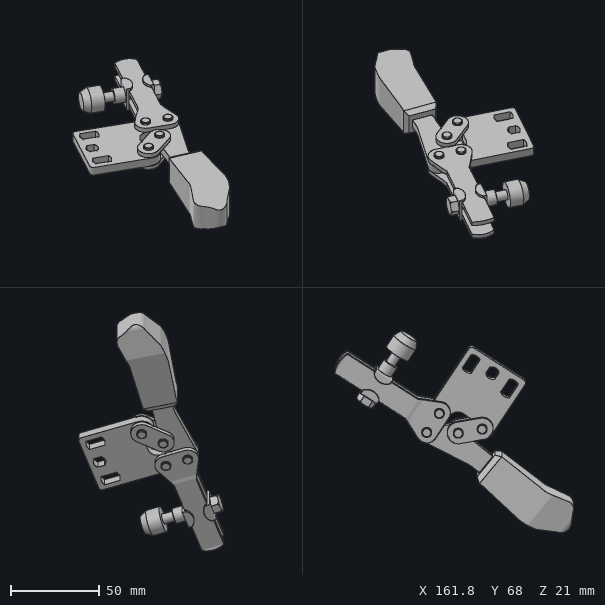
import cadquery as cq
import math

core_thickness = 5.3
sheet_thickness = 2.8
core_half = core_thickness / 2
sheet_top = core_half + sheet_thickness
eye_diameter = 12.5
eye_radius = eye_diameter / 2

arm_base_pivot = (0, 0)
arm_lever_pivot = (0, 13.1)
link_lever_pivot = (15.2, 3.7)
link_base_pivot = (25.2, -5.7)

rivet_shank_radius = 2.3
rivet_head_diameter = 5.7
rivet_head_radius = rivet_head_diameter / 2
rivet_half_length = 6.8
rivet_chamfer = 0.5

base_left = -6.1
base_right = 32.0
base_bottom = -41.7
base_corner_radius = 2.1
lug_radius = base_right - link_base_pivot[0]
notch_floor = -6.6
notch_radius = 5.5
slot_width = 5.8
slot_length = 10.8
slot_bulge = 0.8
slot_pitch = 25.9
hole_width = 6.1
hole_height = 7.0
hole_bulge = 1.5
mount_middle = 12.8
slot_level = -33.2
hole_level = -35.3

bar_low = -0.2
bar_high = 13.1
bar_end = -14.7
arm_tip = -63.8
tip_bulge = 1.6
tip_splay = 0.5
joggle_start = -13.9
joggle_end = -11.8
joggle_rise = 0.4

lever_eye_radius = 5.0
step_x = 3.0
underside_start = (19.1, 2.6)
underside_end = (39.2, 4.9)
neck_high = 16.3
neck_start = 30.1
neck_end = 33.0
neck_rise = 0.8

grip_tilt = math.radians(6)
ridge = (78.0, 15.0)

spindle_x = -38.2
spindle_diameter = 6.0
spindle_radius = spindle_diameter / 2
washer_web = 1.6
washer_half_width = 5.5
washer_half_height = 7.3
washer_edge_radius = 0.8
flange_side = 0.8
flange_depth = 3.4
hex_across_flats = 9.7
hex_height = 4.7
hex_chamfer = 0.5
collar_radius = 4.5
collar_end = -8.1
cap_start = -14.9
cap_shoulder = -22.8
cap_end = -27.0
cap_diameter = 15.0
cap_radius = cap_diameter / 2
cap_face_radius = 5.3


def disc(center, radius, half_height=core_half):
    """Cylinder along Z, centred on the middle plane."""
    return cq.Workplane("XY").center(*center).circle(radius).extrude(half_height, both=True)


def rivet(center):
    """Shank through the plates with a low chamfered head at each end."""
    body = disc(center, rivet_shank_radius, sheet_top)
    head = (
        cq.Workplane("XY", origin=(*center, sheet_top))
        .circle(rivet_head_radius)
        .extrude(rivet_half_length - sheet_top)
        .faces(">Z")
        .chamfer(rivet_chamfer)
    )
    return body.union(head).union(head.mirror("XY"))


def with_mirror(plate):
    """Pair of plates, one on each side of the middle plane."""
    return plate.union(plate.mirror("XY"))


def tangent_point(point, center, radius, side):
    """Where the line from a point touches a circle; side is +1 or -1."""
    dx = point[0] - center[0]
    dy = point[1] - center[1]
    angle = math.atan2(dy, dx) + side * math.acos(radius / math.hypot(dx, dy))
    return (center[0] + radius * math.cos(angle), center[1] + radius * math.sin(angle))


def rivet_holes(*centers):
    holes = cq.Workplane("XY")
    for center in centers:
        holes = holes.union(disc(center, rivet_shank_radius))
    return holes


def mounting_hole(center, width, length, bulge):
    """Upright opening with straight sides and bulged ends."""
    half_width = width / 2
    half_side = length / 2 - bulge
    return (
        cq.Workplane("XY", origin=(*center, 0))
        .moveTo(-half_width, -half_side)
        .threePointArc((0, -length / 2), (half_width, -half_side))
        .lineTo(half_width, half_side)
        .threePointArc((0, length / 2), (-half_width, half_side))
        .close()
        .extrude(core_half, both=True)
    )


def make_base():
    eye_right = -base_left
    lug_left = link_base_pivot[0] - lug_radius
    plate = (
        cq.Workplane("XY")
        .moveTo(base_left, base_bottom)
        .lineTo(base_right, base_bottom)
        .lineTo(base_right, link_base_pivot[1])
        .threePointArc((link_base_pivot[0], link_base_pivot[1] + lug_radius), (lug_left, link_base_pivot[1]))
        .lineTo(lug_left, notch_floor)
        .lineTo(eye_right, notch_floor)
        .lineTo(eye_right, 0)
        .threePointArc((0, eye_right), (base_left, 0))
        .close()
        .extrude(core_half, both=True)
    )
    plate = plate.edges("|Z and <Y").fillet(base_corner_radius)
    notch_corner = cq.selectors.NearestToPointSelector((eye_right, notch_floor, 0))
    plate = plate.edges("|Z").edges(notch_corner).fillet(notch_radius)
    for side in (-1, 1):
        slot_center = (mount_middle + side * slot_pitch / 2, slot_level)
        plate = plate.cut(mounting_hole(slot_center, slot_width, slot_length, slot_bulge))
    plate = plate.cut(mounting_hole((mount_middle, hole_level), hole_width, hole_height, hole_bulge))
    return plate.cut(rivet_holes(arm_base_pivot, link_base_pivot))


def make_arm():
    top_corner = (bar_end, bar_high)
    low_corner = (bar_end, bar_low)
    bend = arm_tip + tip_bulge
    eye_diagonal = eye_radius * math.sqrt(0.5)
    outline = (
        cq.Workplane("XY")
        .moveTo(*low_corner)
        .lineTo(*tangent_point(low_corner, arm_base_pivot, eye_radius, 1))
        .threePointArc((eye_diagonal, -eye_diagonal), (eye_radius, 0))
        .lineTo(eye_radius, arm_lever_pivot[1])
        .threePointArc(
            (arm_lever_pivot[0], arm_lever_pivot[1] + eye_radius),
            tangent_point(top_corner, arm_lever_pivot, eye_radius, -1),
        )
        .lineTo(*top_corner)
        .lineTo(bend, bar_high)
        .threePointArc((arm_tip, (bar_low + bar_high) / 2), (bend, bar_low))
        .close()
        .extrude(rivet_half_length)
    )
    path = [
        (arm_tip, core_half + joggle_rise + tip_splay),
        (bend, core_half + joggle_rise),
        (joggle_start, core_half + joggle_rise),
        (joggle_end, core_half),
        (eye_radius, core_half),
    ]
    outer = [(x, z + sheet_thickness) for x, z in reversed(path)]
    sheet_width = 2 * (arm_lever_pivot[1] + eye_radius)
    sheet = cq.Workplane("XZ").polyline(path + outer).close().extrude(sheet_width, both=True)
    arm = with_mirror(outline.intersect(sheet))
    return arm.union(rivet(arm_base_pivot)).union(rivet(arm_lever_pivot))


def make_link():
    dx = link_base_pivot[0] - link_lever_pivot[0]
    dy = link_base_pivot[1] - link_lever_pivot[1]
    middle = (link_lever_pivot[0] + dx / 2, link_lever_pivot[1] + dy / 2)
    plate = (
        cq.Workplane("XY", origin=(*middle, core_half))
        .slot2D(math.hypot(dx, dy) + 2 * eye_radius, 2 * eye_radius, math.degrees(math.atan2(dy, dx)))
        .extrude(sheet_thickness)
    )
    return with_mirror(plate).union(rivet(link_lever_pivot)).union(rivet(link_base_pivot))


def make_lever():
    """Flat bar whose lower edge steps clear of the base plate's eye."""
    eye_low = arm_lever_pivot[1] - lever_eye_radius
    step = (step_x, eye_low)
    bar = (
        cq.Workplane("XY")
        .polyline([
            (arm_lever_pivot[0], eye_low),
            step,
            tangent_point(step, link_lever_pivot, lever_eye_radius, 1),
            link_lever_pivot,
            underside_start,
            underside_end,
            (underside_end[0], neck_high + neck_rise),
            (neck_end, neck_high),
            (neck_start, neck_high),
            (arm_lever_pivot[0], arm_lever_pivot[1] + eye_radius),
        ])
        .close()
        .extrude(core_half, both=True)
    )
    lever = bar.union(disc(link_lever_pivot, lever_eye_radius))
    eye_width = (eye_radius + lever_eye_radius) / 2
    eye_middle = eye_low + eye_width
    upper_eye = (
        cq.Workplane("XY")
        .moveTo(arm_lever_pivot[0], eye_low)
        .lineTo(arm_lever_pivot[0], arm_lever_pivot[1] + eye_radius)
        .threePointArc(
            (arm_lever_pivot[0] - eye_width, eye_middle),
            (arm_lever_pivot[0], eye_low),
        )
        .close()
        .extrude(core_half, both=True)
    )
    lever = lever.union(upper_eye)
    return lever.cut(rivet_holes(arm_lever_pivot, link_lever_pivot))


def make_grip():
    side_outline = (
        cq.Workplane("XY")
        .moveTo(39.3, 2.9)
        .lineTo(43.0, 1.3)
        .lineTo(70.9, 3.9)
        .threePointArc((73.5, 4.2), (75.9, 4.2))
        .lineTo(88.3, 2.3)
        .threePointArc((92.4, 3.0), (94.5, 6.3))
        .lineTo(97.7, 13.1)
        .threePointArc((97.4, 17.6), (93.5, 20.5))
        .lineTo(82.4, 25.5)
        .threePointArc((77.3, 26.2), (70.9, 26.2))
        .lineTo(43.0, 21.4)
        .lineTo(41.0, 21.4)
        .lineTo(37.9, 19.1)
        .close()
        .extrude(2 * rivet_half_length, both=True)
    )
    front, front_half = -39.6, 6.3
    chamfer_end, chamfer_half = -36.2, 8.3
    ridge_half = 10.5
    nose_start, nose_half = 16.0, 7.6
    nose_middle, nose_middle_half = 18.5, 7.0
    nose_end, nose_end_half = 20.0, 5.7
    tilted = cq.Plane(
        origin=(*ridge, 0),
        xDir=(math.cos(grip_tilt), math.sin(grip_tilt), 0),
        normal=(math.sin(grip_tilt), -math.cos(grip_tilt), 0),
    )
    thickness_outline = (
        cq.Workplane(tilted)
        .moveTo(front, -front_half)
        .lineTo(chamfer_end, -chamfer_half)
        .lineTo(0, -ridge_half)
        .lineTo(nose_start, -nose_half)
        .threePointArc((nose_middle, -nose_middle_half), (nose_end, -nose_end_half))
        .lineTo(nose_end, nose_end_half)
        .threePointArc((nose_middle, nose_middle_half), (nose_start, nose_half))
        .lineTo(0, ridge_half)
        .lineTo(chamfer_end, chamfer_half)
        .lineTo(front, front_half)
        .close()
        .extrude(4 * rivet_half_length, both=True)
    )
    return side_outline.intersect(thickness_outline)


def spindle_section(radius, start, end):
    return cq.Workplane("XZ", origin=(spindle_x, start, 0)).circle(radius).extrude(start - end)


def make_spindle():
    head_base = bar_high + washer_web
    head_top = head_base + hex_height
    hex_corner_diameter = hex_across_flats / math.cos(math.pi / 6)
    head = (
        cq.Workplane("XZ", origin=(spindle_x, head_top, 0))
        .polygon(6, hex_corner_diameter)
        .extrude(hex_height)
    )
    blank = spindle_section(hex_corner_diameter / 2, head_top, head_base)
    head = head.intersect(blank.faces(">Y").chamfer(2 * hex_chamfer, hex_chamfer))
    cap = cq.Workplane("XY").polyline([
        (spindle_x, cap_start),
        (spindle_x + cap_radius, cap_start),
        (spindle_x + cap_radius, cap_shoulder),
        (spindle_x + cap_face_radius, cap_end),
        (spindle_x, cap_end),
    ]).close().revolve(360, (spindle_x, 0), (spindle_x, 1))
    shank = spindle_section(spindle_radius, head_base, cap_start)
    collar = spindle_section(collar_radius, bar_low - washer_web, collar_end)
    return head.union(shank).union(collar).union(cap)


def make_washer(edge, outward):
    """Washer on the bar edge at Y = edge; outward is +1 or -1 along Y."""
    web_face = edge + outward * washer_web
    flange_corner = edge - outward * flange_side
    flange_middle = edge - outward * flange_depth
    block = (
        cq.Workplane("XY")
        .moveTo(spindle_x - washer_half_width, web_face)
        .lineTo(spindle_x + washer_half_width, web_face)
        .lineTo(spindle_x + washer_half_width, flange_corner)
        .threePointArc((spindle_x, flange_middle), (spindle_x - washer_half_width, flange_corner))
        .close()
        .extrude(washer_half_height, both=True)
    )
    outer_face = ">Y" if outward > 0 else "<Y"
    block = block.faces(outer_face).edges("|X").fillet(washer_edge_radius)
    bar_half = sheet_top + joggle_rise
    bar_space = cq.Workplane("XY").box(4 * washer_half_width, bar_high - bar_low, 2 * bar_half)
    bar_space = bar_space.translate((spindle_x, (bar_high + bar_low) / 2, 0))
    bore = spindle_section(spindle_radius, bar_high + washer_web, bar_low - washer_web)
    return block.cut(bar_space).cut(bore)


base = make_base()
arm = make_arm()
link = make_link()
handle = make_lever().union(make_grip())
spindle = make_spindle()
washers = [make_washer(edge, outward) for edge, outward in ((bar_high, 1), (bar_low, -1))]

bodies = [base, arm, link, handle, spindle, *washers]
result = cq.Compound.makeCompound([body.solids().val() for body in bodies])